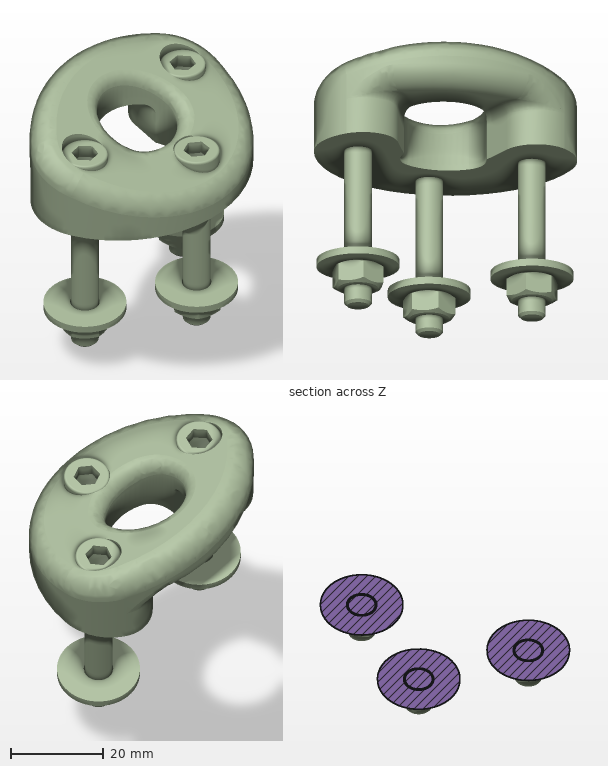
import cadquery as cq
import math


body_left = -19.72
body_length = 44.99
body_right = body_left + body_length
body_left_radius = 37.1
body_right_radius = 29.25
body_blend_radius = 13.5
right_centre_x = body_right - body_right_radius
left_centre_x = body_left + body_left_radius

top_slope = 20.0
top_height = 15.65
rim_radius = 4.5

hole_left = -7.75
hole_right = 8.75
hole_left_radius = 9.4
hole_left_centre_x = hole_left + hole_left_radius
hole_blend_radius = 5.5
hole_right_radius = hole_right - right_centre_x
hole_rim_radius = 2.9

bridge_underside = 10.0
bridge_round_radius = 4.5
leg_radius = 7.6
leg_inner_slope = 22.0
leg_fillet = 2.0

rear_bolt_y = 19.25
front_bolt_x = 16.27
bolt_diameter = 6.0
head_diameter = 10.0
head_height = 6.0
head_edge_round = 0.5
socket_flats = 5.0
socket_depth = 3.0
socket_cone_angle = 30.0
tip_chamfer = 0.6
washer_diameter = 18.0
washer_bore = 6.4
washer_thickness = 1.6
washer_top = -25.0
nut_flats = 10.0
nut_height = 5.0
nut_upper_rim_radius = 4.88
nut_lower_rim_radius = 4.4
nut_chamfer_angle = 30.0

bolts = [
    (0.0, rear_bolt_y, 15.5, -35.5, 27.0, 0.0),
    (0.0, -rear_bolt_y, 15.5, -35.5, 30.0, 35.0),
    (front_bolt_x, 0.0, 11.1, -35.15, 42.0, 8.0),
]

reach = 40.0
margin = 1.0


def polar(centre, radius, angle):
    """Point at the given angle (radians) on a circle."""
    return (centre[0] + radius * math.cos(angle), centre[1] + radius * math.sin(angle))


def mirrored(point):
    """The point reflected across Y = 0."""
    return (point[0], -point[1])


def blend_geometry(left_x, left_radius, right_x, right_radius, blend_radius):
    """Centre of the blend circle inside two circles on the X axis, and the angles where it touches them."""
    spacing = left_x - right_x
    from_left = left_radius - blend_radius
    from_right = right_radius - blend_radius
    along = (from_right**2 - from_left**2 - spacing**2) / (2 * spacing)
    across = math.sqrt(from_left**2 - along**2)
    left_angle = math.atan2(across, along)
    right_angle = math.atan2(across, along + spacing)
    return (left_x + along, across), left_angle, right_angle


def egg(left_x, left_radius, right_x, right_radius, blend_radius):
    """Closed outline of a left arc and a right arc joined by two tangent blend arcs."""
    centre, left_angle, right_angle = blend_geometry(left_x, left_radius, right_x, right_radius, blend_radius)
    right_end = polar(centre, blend_radius, right_angle)
    blend_middle = polar(centre, blend_radius, (left_angle + right_angle) / 2)
    left_end = polar(centre, blend_radius, left_angle)
    return (
        cq.Workplane("XY")
        .moveTo(*mirrored(right_end))
        .threePointArc((right_x + right_radius, 0), right_end)
        .threePointArc(blend_middle, left_end)
        .threePointArc((left_x - left_radius, 0), mirrored(left_end))
        .threePointArc(mirrored(blend_middle), mirrored(right_end))
        .close()
    )


def block_above_top_face():
    """Everything above the sloping top face."""
    drop = reach * math.tan(math.radians(top_slope))
    return (
        cq.Workplane("XZ")
        .polyline([
            (-reach, top_height + drop),
            (reach, top_height - drop),
            (reach, top_height + 2 * drop),
            (-reach, top_height + 2 * drop),
        ])
        .close()
        .extrude(reach, both=True)
    )


def make_body():
    """Egg-shaped block with a sloping top, a central opening and rounded rims."""
    outline = egg(left_centre_x, body_left_radius, right_centre_x, body_right_radius, body_blend_radius)
    solid = outline.extrude(reach).cut(block_above_top_face())
    solid = solid.faces(">Z").edges().fillet(rim_radius)
    opening = egg(hole_left_centre_x, hole_left_radius, right_centre_x, hole_right_radius, hole_blend_radius)
    solid = solid.cut(opening.extrude(reach))
    rim_box = cq.selectors.BoxSelector(
        (hole_left - margin, -hole_left_radius - margin, margin),
        (hole_right + margin, hole_left_radius + margin, reach),
    )
    return solid.edges(rim_box).edges("not |Z").fillet(hole_rim_radius)


def leg_pocket():
    """Space under the bridge, bounded by the rounded end and flat inner face of each leg."""
    _, leg_angle, _ = blend_geometry(
        left_centre_x, body_left_radius, right_centre_x, body_right_radius, body_blend_radius
    )
    left_centre = (left_centre_x, 0)
    leg_centre = polar(left_centre, body_left_radius - leg_radius, leg_angle)
    outer_point = polar(leg_centre, leg_radius, leg_angle)
    outside_point = polar(left_centre, reach + body_left_radius, leg_angle)
    inner_angle = math.radians(270 - leg_inner_slope)
    inner_point = polar(leg_centre, leg_radius, inner_angle)
    middle_point = polar(leg_centre, leg_radius, (leg_angle + inner_angle) / 2)
    flat_run = hole_left_centre_x - inner_point[0]
    flat_drop = flat_run * math.tan(math.radians(leg_inner_slope))
    opening_point = (hole_left_centre_x, inner_point[1] - flat_drop)
    pocket = (
        cq.Workplane("XY")
        .moveTo(*outside_point)
        .lineTo(*outer_point)
        .threePointArc(middle_point, inner_point)
        .lineTo(*opening_point)
        .lineTo(*mirrored(opening_point))
        .lineTo(*mirrored(inner_point))
        .threePointArc(mirrored(middle_point), mirrored(outer_point))
        .lineTo(*mirrored(outside_point))
        .close()
        .extrude(bridge_underside)
    )
    leg_box = cq.selectors.BoxSelector(
        (leg_centre[0] - leg_radius, -reach, bridge_underside - margin),
        (hole_left_centre_x - margin, reach, bridge_underside + margin),
    )
    return pocket.edges(leg_box).fillet(leg_fillet)


def round_bridge(solid):
    """Round the lower outer edge of the bridge."""
    underside_point = (body_left + bridge_round_radius, 0, bridge_underside)
    underside = solid.faces(cq.selectors.NearestToPointSelector(underside_point))
    return underside.edges("<X").fillet(bridge_round_radius)


def corner_radius_of(flats):
    """Distance from the centre to a corner of a hexagon of the given width across flats."""
    return flats / math.sqrt(3)


def hexagon(flats, height, rotation):
    """Hexagonal prism standing on Z = 0, with a corner at the given rotation."""
    prism = cq.Workplane("XY").polygon(6, 2 * corner_radius_of(flats)).extrude(height)
    return prism.rotate((0, 0, 0), (0, 0, 1), rotation)


def cylinder(diameter, height, bottom):
    """Upright cylinder on the Z axis."""
    return cq.Workplane("XY").workplane(offset=bottom).circle(diameter / 2).extrude(height)


def make_socket(head_top, rotation):
    """Hexagonal socket whose floor is a cone."""
    corner_radius = corner_radius_of(socket_flats)
    cone_depth = corner_radius * math.tan(math.radians(socket_cone_angle))
    floor_cone = cq.Solid.makeCone(0, corner_radius, cone_depth).moved(cq.Location((0, 0, -cone_depth)))
    socket = hexagon(socket_flats, socket_depth, rotation).union(cq.Workplane(floor_cone))
    return socket.translate((0, 0, head_top - socket_depth))


def make_bolt(head_top, shank_end, socket_rotation):
    """Socket-head bolt on the Z axis."""
    seat = head_top - head_height
    head = cylinder(head_diameter, head_height, seat).faces(">Z").edges().fillet(head_edge_round)
    shank = cylinder(bolt_diameter, seat - shank_end, shank_end).faces("<Z").edges().chamfer(tip_chamfer)
    return head.union(shank).cut(make_socket(head_top, socket_rotation))


def make_nut(rotation):
    """Hexagonal nut with conical chamfers on both ends, standing on Z = 0."""
    corner_radius = corner_radius_of(nut_flats)
    slope = math.tan(math.radians(nut_chamfer_angle))
    envelope = (
        cq.Workplane("XZ")
        .polyline([
            (0, 0),
            (nut_lower_rim_radius, 0),
            (corner_radius, (corner_radius - nut_lower_rim_radius) * slope),
            (corner_radius, nut_height - (corner_radius - nut_upper_rim_radius) * slope),
            (nut_upper_rim_radius, nut_height),
            (0, nut_height),
        ])
        .close()
        .revolve(360, (0, 0, 0), (0, 1, 0))
    )
    return hexagon(nut_flats, nut_height, rotation).intersect(envelope)


def make_washer():
    """Flat washer on the Z axis, with clearance around the bolt."""
    washer_bottom = washer_top - washer_thickness
    washer = cylinder(washer_diameter, washer_thickness, washer_bottom)
    return washer.cut(cylinder(washer_bore, washer_thickness, washer_bottom))


def add_fastener(solid, x, y, head_top, shank_end, socket_rotation, nut_rotation):
    """Recess the body for a bolt head and add the bolt with its washer and nut."""
    place = (x, y, 0)
    solid = solid.cut(cylinder(head_diameter, reach, head_top - head_height).translate(place))
    nut_bottom = washer_top - washer_thickness - nut_height
    nut = make_nut(nut_rotation).translate((0, 0, nut_bottom))
    fastener = make_bolt(head_top, shank_end, socket_rotation).union(nut).union(make_washer())
    return solid.union(fastener.translate(place))


result = round_bridge(make_body().cut(leg_pocket()))
for bolt in bolts:
    result = add_fastener(result, *bolt)